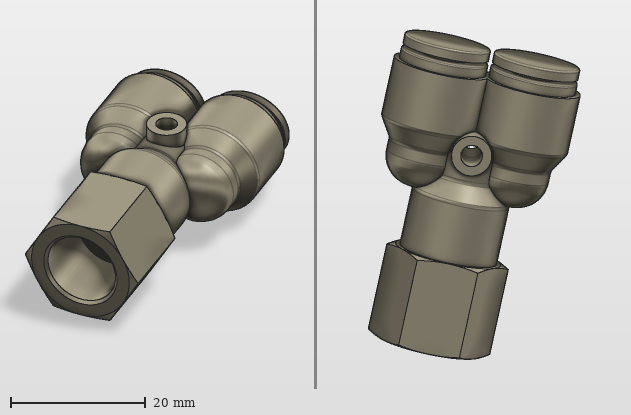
import cadquery as cq
import math


nut_flats = 16.0
nut_length = 14.0
nut_chamfer_angle = 20.0
nut_bore_d = 11.05
nut_bore_depth = 11.0
nut_mouth_d = 12.0
nut_passage_d = 4.0

barrel_d = 14.7
neck_d = 11.0
taper_length = 3.0
taper_blend = 1.0
port_offset = 6.8
stem_taper_start = 23.05
dome_end = 23.1
dome_flat_d = 2.0
port_taper_start = 29.55
port_end = 41.6

eye_d = 6.0
eye_hole_d = 3.2
eye_y = 30.55

collar_d = 13.15
collar_length = 1.6
collar_edge_round = 0.2
sleeve_stem_d = 7.5
sleeve_gap = 0.65
flange_width = 13.0
flange_height = 11.65
flange_edge_round = 0.3
overall_length = 45.45

barrel_r = barrel_d / 2
neck_r = neck_d / 2
dome_r = neck_r - dome_flat_d / 2
collar_end = port_end + collar_length
flange_start = collar_end + sleeve_gap
flange_length = overall_length - flange_start


def section_at(y, x=0):
    """Plane across the Y axis, facing +Y, with local x along -X and local y along Z."""
    return cq.Workplane(cq.Plane(origin=(x, y, 0), xDir=(-1, 0, 0), normal=(0, 1, 0)))


def revolve_about_y(outline):
    return outline.close().revolve(360, (0, 0, 0), (0, 1, 0))


def round_circles_at(body, y, radius):
    """Round the circular edges lying in the plane at the given Y."""
    tolerance = 0.001
    edges = body.edges("%CIRCLE").filter(lambda edge: abs(edge.Center().y - y) < tolerance)
    return edges.fillet(radius)


def make_stem():
    taper_end = stem_taper_start + taper_length
    stem = revolve_about_y(
        cq.Workplane("XY")
        .moveTo(0, nut_length)
        .lineTo(barrel_r, nut_length)
        .lineTo(barrel_r, stem_taper_start)
        .lineTo(neck_r, taper_end)
        .lineTo(neck_r, eye_y)
        .lineTo(0, eye_y)
    )
    stem = round_circles_at(stem, stem_taper_start, taper_blend)
    return round_circles_at(stem, taper_end, taper_blend)


def make_port():
    """One tube port on the Y axis, with a domed lower end."""
    taper_end = port_taper_start + taper_length
    port = revolve_about_y(
        cq.Workplane("XY")
        .moveTo(0, dome_end)
        .lineTo(neck_r, dome_end)
        .lineTo(neck_r, port_taper_start)
        .lineTo(barrel_r, taper_end)
        .lineTo(barrel_r, port_end)
        .lineTo(0, port_end)
    )
    port = round_circles_at(port, dome_end, dome_r)
    port = round_circles_at(port, port_taper_start, taper_blend)
    return round_circles_at(port, taper_end, taper_blend)


def make_housing():
    housing = make_stem()
    port = make_port()
    for side in (-1, 1):
        housing = housing.union(port.translate((side * port_offset, 0, 0)))
    eye_plane = cq.Workplane("XY").center(0, eye_y)
    eye = eye_plane.circle(eye_d / 2).extrude(barrel_r, both=True)
    eye_hole = eye_plane.circle(eye_hole_d / 2).extrude(barrel_r, both=True)
    return housing.union(eye).cut(eye_hole)


def make_nut():
    across_corners = nut_flats / math.cos(math.radians(30))
    corner_r = across_corners / 2
    flat_r = nut_flats / 2
    chamfer_length = (corner_r - flat_r) * math.tan(math.radians(nut_chamfer_angle))
    hexagon = section_at(0).polygon(6, across_corners).extrude(nut_length)
    corner_trim = revolve_about_y(
        cq.Workplane("XY")
        .lineTo(flat_r, 0)
        .lineTo(corner_r, chamfer_length)
        .lineTo(corner_r, nut_length - chamfer_length)
        .lineTo(flat_r, nut_length)
        .lineTo(0, nut_length)
    )
    bore_r = nut_bore_d / 2
    mouth_r = nut_mouth_d / 2
    passage_r = nut_passage_d / 2
    bore = revolve_about_y(
        cq.Workplane("XY")
        .lineTo(mouth_r, 0)
        .lineTo(bore_r, mouth_r - bore_r)
        .lineTo(bore_r, nut_bore_depth)
        .lineTo(passage_r, nut_bore_depth)
        .lineTo(passage_r, nut_length)
        .lineTo(0, nut_length)
    )
    return hexagon.intersect(corner_trim).cut(bore)


def make_collar(x):
    collar = section_at(port_end, x).circle(collar_d / 2).extrude(collar_length)
    return collar.faces(">Y").edges().fillet(collar_edge_round)


def make_release_sleeve(x):
    stem = section_at(collar_end, x).circle(sleeve_stem_d / 2).extrude(sleeve_gap)
    flange = section_at(flange_start, x).ellipse(flange_width / 2, flange_height / 2).extrude(flange_length)
    flange = flange.faces(">Y").edges().fillet(flange_edge_round)
    return stem.union(flange)


nut = make_nut()
housing = make_housing()
collars = []
release_sleeves = []
for port_x in (-port_offset, port_offset):
    collars.append(make_collar(port_x).solids().val())
    release_sleeves.append(make_release_sleeve(port_x).solids().val())

result = cq.Compound.makeCompound([housing.solids().val(), nut.solids().val(), *collars, *release_sleeves])